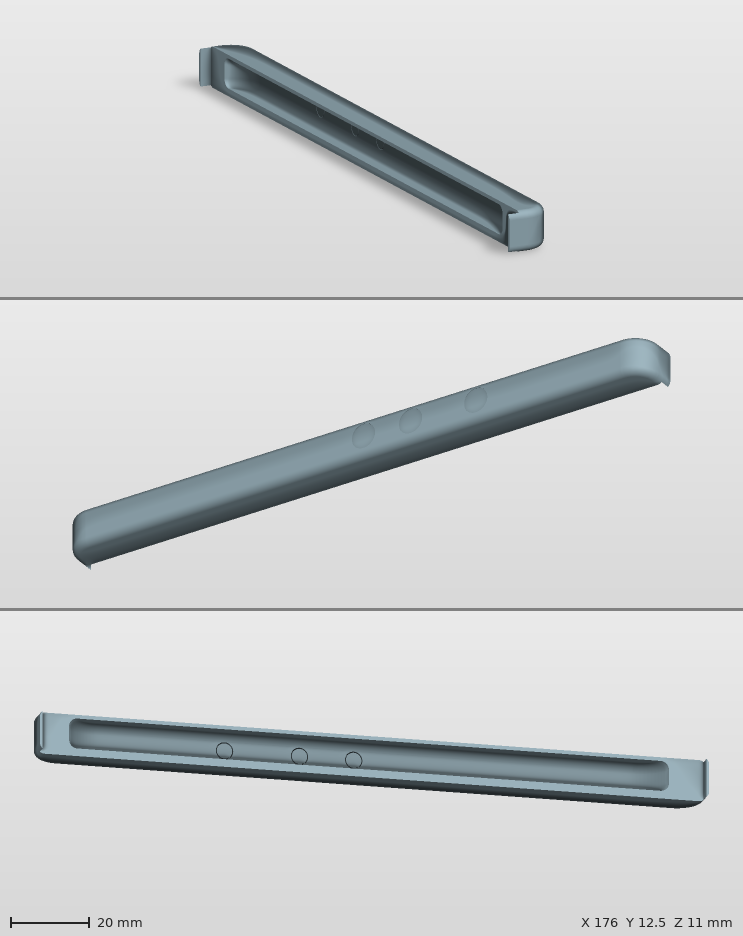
import cadquery as cq

LENGTH = 176.0
HEIGHT = 11.0
DEPTH = 9.5
CORNER_RADIUS = 7.0
EDGE_RADIUS = 2.0

TAB_REACH = 3.0
TAB_THICKNESS = 0.7

SPLIT_Z = 0.2

SLOT_LENGTH = 158.4
SLOT_X = -0.7
SLOT_DEPTH = 6.0
SLOT_END_RADIUS = 8.3
SLOT_HEIGHT = 8.0
SLOT_EDGE_RADIUS = 2.1
SLOT_Z = 0.5

BUTTON_XS = [-37.1, -17.5, -3.2]
STEM_DIAMETER = 4.0
STEM_HOLE_DIAMETER = 4.5
HEAD_DIAMETER = 7.0
RECESS_DEPTH = 0.9
HEAD_THICKNESS = 0.7

HALF_HEIGHT = HEIGHT / 2


def rounded_bar():
    """Bar with round back corners and rounded edges, reaching forward to the tips of the tabs."""
    bar_depth = DEPTH + TAB_REACH
    bar = (
        cq.Workplane("XY")
        .box(LENGTH, bar_depth, HEIGHT, centered=(True, False, True))
        .translate((0, -TAB_REACH, 0))
    )
    bar = bar.edges("|Z and >Y").fillet(CORNER_RADIUS)
    outline_edges = bar.faces("<Z or >Z").edges("not <Y")
    return outline_edges.fillet(EDGE_RADIUS)


def space_between_tabs():
    """Volume in front of the front face that leaves only a thin tab at each end."""
    return (
        cq.Workplane("XY")
        .box(LENGTH - 2 * TAB_THICKNESS, TAB_REACH, HEIGHT, centered=(True, False, True))
        .translate((0, -TAB_REACH, 0))
    )


def slot():
    """Long pocket open to the front, with scooped ends and rounded floor edges."""
    pocket = (
        cq.Workplane("XY")
        .box(SLOT_LENGTH, SLOT_DEPTH + TAB_REACH, SLOT_HEIGHT, centered=(True, False, True))
        .translate((SLOT_X, -TAB_REACH, SLOT_Z))
    )
    pocket = pocket.edges("|Z and >Y").fillet(SLOT_END_RADIUS)
    return pocket.faces("<Z or >Z").edges("not <Y").fillet(SLOT_EDGE_RADIUS)


def disc(diameter, start_y, end_y):
    """Cylinder along Y, centred at the height of the buttons."""
    return (
        cq.Workplane("XZ", origin=(0, start_y, SLOT_Z))
        .circle(diameter / 2)
        .extrude(start_y - end_y)
    )


def button_hole(x):
    """Stepped hole from the slot floor to the back face."""
    stem_hole = disc(STEM_HOLE_DIAMETER, 0, DEPTH)
    recess = disc(HEAD_DIAMETER, DEPTH - RECESS_DEPTH, DEPTH)
    return stem_hole.union(recess).translate((x, 0, 0))


def button(x):
    """Stem flush with the slot floor, with a wider head seated in the recess."""
    seat_y = DEPTH - RECESS_DEPTH
    stem = disc(STEM_DIAMETER, SLOT_DEPTH, seat_y)
    head = disc(HEAD_DIAMETER, seat_y, seat_y + HEAD_THICKNESS)
    return stem.union(head).translate((x, 0, 0))


def whole_housing():
    """Both housing halves before they are parted at the joint."""
    housing = rounded_bar().cut(space_between_tabs()).cut(slot())
    for x in BUTTON_XS:
        housing = housing.cut(button_hole(x))
    return housing


def housing_half(low_z, high_z):
    """Part of the housing between two levels."""
    layer = (
        cq.Workplane("XY", origin=(0, 0, low_z))
        .rect(2 * LENGTH, 2 * LENGTH)
        .extrude(high_z - low_z)
    )
    return whole_housing().intersect(layer)


lower_half = housing_half(-HALF_HEIGHT, SPLIT_Z)
upper_half = housing_half(SPLIT_Z, HALF_HEIGHT)
buttons = [button(x) for x in BUTTON_XS]

result = cq.Compound.makeCompound(
    [lower_half.val(), upper_half.val(), *[item.val() for item in buttons]]
)